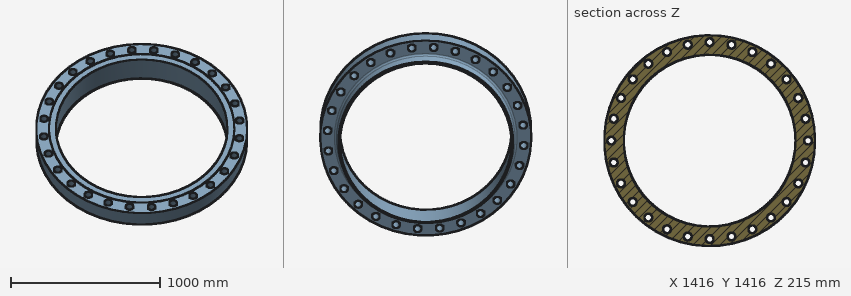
import cadquery as cq

outer_radius = 708.0
bore_radius = 575.0
face_radius = 622.0
total_height = 215.0
face_height = 3.0
flange_bottom = 82.0

hub_root_radius = 602.0
root_fillet_radius = 14.0
hub_end_radius = 586.0
bevel_height = 7.0
bevel_end_radius = 579.0

bolt_count = 28
bolt_circle_radius = 660.0
bolt_hole_diameter = 51.0

flange_top = total_height - face_height


def flange():
    """Bolting ring with a slightly raised sealing face."""
    section = [
        (bore_radius, flange_bottom),
        (outer_radius, flange_bottom),
        (outer_radius, flange_top),
        (face_radius, flange_top),
        (face_radius, total_height),
        (bore_radius, total_height),
    ]
    return cq.Workplane("XZ").polyline(section).close().revolve(360, (0, 0), (0, 1))


def hub():
    """Neck that tapers downwards to a bevelled end."""
    section = [
        (bore_radius, 0),
        (bevel_end_radius, 0),
        (hub_end_radius, bevel_height),
        (hub_root_radius, flange_bottom),
        (bore_radius, flange_bottom),
    ]
    return cq.Workplane("XZ").polyline(section).close().revolve(360, (0, 0), (0, 1))


def bolt_holes():
    """Cylinders through the full height, with the first one on the +X axis."""
    return (
        cq.Workplane("XY")
        .polarArray(bolt_circle_radius, 0, 360, bolt_count)
        .circle(bolt_hole_diameter / 2)
        .extrude(total_height)
    )


body = flange().union(hub())

underside = body.faces("|Z").faces("<Z[-2]")
body = underside.edges(cq.selectors.RadiusNthSelector(0)).fillet(root_fillet_radius)

result = body.cut(bolt_holes())